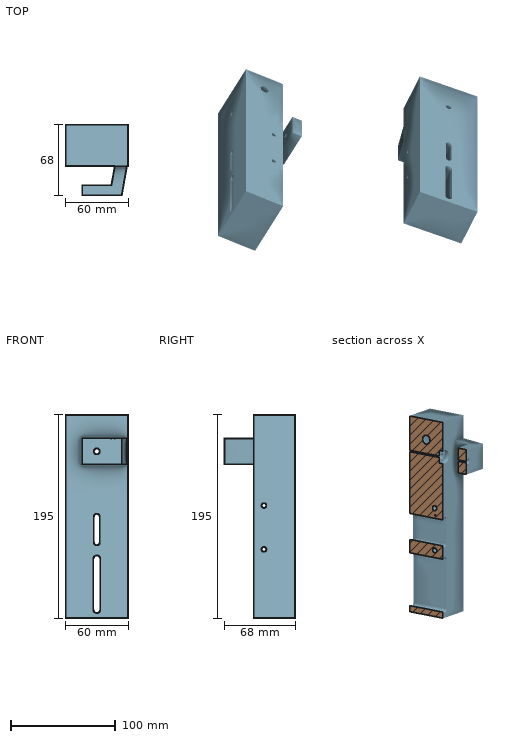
import cadquery as cq
import math

block_width = 60.0
block_depth = 40.0
block_height = 195.0
block_mid_x = block_width / 2
block_mid_y = block_depth / 2

arm_reach = 28.0
arm_height = 25.0
arm_mid_z = 160.0
arm_thickness = 10.0
arm_tip_x = 16.0
arm_corner_x = 54.0
arm_lean = math.radians(10)
shank_width = 11.8

screw_diameter = 5.5
counterbore_diameter = 13.3
counterbore_depth = 4.0

socket_diameter = 8.3
socket_depth = block_mid_x
socket_below_top = 20.5
socket_z = block_height - socket_below_top

cross_hole_diameter = 4.4
cross_hole_y = 10.0
cross_hole_heights = (66.0, 108.0)

slots = (
    (5.5, 70.0, 100.0),
    (6.5, 5.0, 60.0),
)


def make_block():
    return cq.Workplane("XY").box(block_width, block_depth, block_height, centered=False)


def make_arm():
    """Finger parallel to the front face, carried by a leaning shank."""
    finger_back_y = arm_thickness - arm_reach
    outer_root_x = arm_corner_x + arm_reach * math.tan(arm_lean)
    inner_root_x = outer_root_x - shank_width
    inner_corner_x = inner_root_x + finger_back_y * math.tan(arm_lean)
    outline = [
        (arm_tip_x, -arm_reach),
        (arm_corner_x, -arm_reach),
        (outer_root_x, 0),
        (inner_root_x, 0),
        (inner_corner_x, finger_back_y),
        (arm_tip_x, finger_back_y),
    ]
    arm_bottom = cq.Workplane("XY").workplane(offset=arm_mid_z - arm_height / 2)
    return arm_bottom.polyline(outline).close().extrude(arm_height)


def drill_back(diameter, z, start_y, end_y):
    """Cylinder along +Y on the block's middle plane."""
    plane = cq.Workplane("XZ", origin=(block_mid_x, start_y, z))
    return plane.circle(diameter / 2).extrude(start_y - end_y)


def drill_right(diameter, y, z, depth):
    """Cylinder along +X, starting on the left face."""
    return cq.Workplane("YZ", origin=(0, y, z)).circle(diameter / 2).extrude(depth)


def make_slot(width, bottom, top):
    """Round-ended vertical slot through the depth of the block."""
    plane = cq.Workplane("XZ", origin=(block_mid_x, 0, (bottom + top) / 2))
    return plane.slot2D(top - bottom, width, 90).extrude(-block_depth)


result = make_block().union(make_arm())
result = result.cut(drill_back(screw_diameter, arm_mid_z, -arm_reach, block_depth))
result = result.cut(drill_back(counterbore_diameter, arm_mid_z, 0, counterbore_depth))
result = result.cut(drill_right(socket_diameter, block_mid_y, socket_z, socket_depth))
for hole_z in cross_hole_heights:
    result = result.cut(drill_right(cross_hole_diameter, cross_hole_y, hole_z, block_width))
for slot_width, slot_bottom, slot_top in slots:
    result = result.cut(make_slot(slot_width, slot_bottom, slot_top))